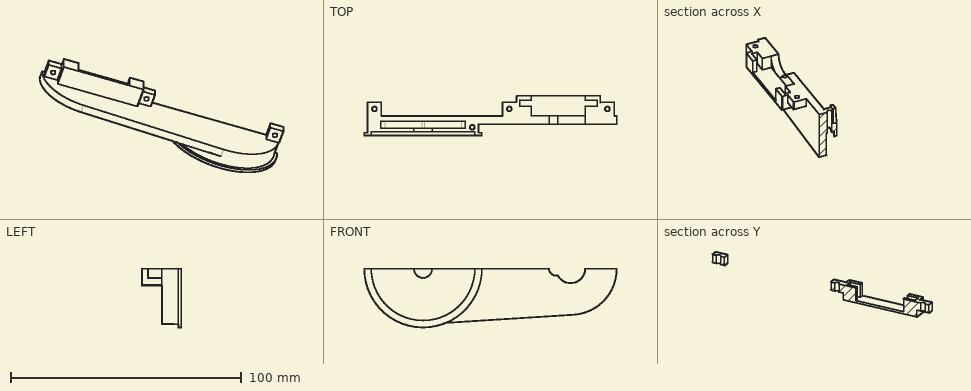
import cadquery as cq
import math


total_length = 109.5
flange_radius = 25.5
hub_radius = 24.1
end_radius = 20.0
end_x = total_length - flange_radius - end_radius

flange_back_y = 1.3
recess_depth = 1.6
plate_front_y = 4.9
plate_back_y = 8.5
bracket_back_y = 17.3

recess_radius = 22.5
horn_front_y = 3.3
horn_back_y = 6.2
horn_hub_radius = 4.3
horn_tip_radius = 2.1
horn_half_length = 18.3
clearance_radius = 3.9

lug_size = 6.0
lug_height = 4.0
lug_chamfer = 0.2
hole_radius = 1.0
lug_back_y = plate_back_y + lug_size
lug_hole_y = plate_back_y + lug_size / 2
hub_hole_x = 21.4
hub_hole_y = 3.6

bracket_left_x = 40.4
bracket_right_x = 76.9
bracket_height = 7.3
bracket_chamfer = 0.3
pocket_left_x = 46.9
pocket_right_x = 70.2
pocket_depth = 6.0
ear_left_x = 41.9
ear_right_x = 75.5
ear_front_y = 12.7
ear_back_y = 15.3
shaft_opening_radius = pocket_right_x - end_x
gear_opening_radius = 3.0
gear_opening_x = 57.6

lug_left_edges = [
    -hub_radius,
    bracket_left_x - lug_size,
    bracket_right_x,
]


def box(x0, x1, y0, y1, height):
    """Box hanging down from the split plane."""
    return cq.Workplane("XY").box(x1 - x0, y1 - y0, height, centered=False).translate((x0, y0, -height))


def cylinder(x, radius, y0, y1):
    """Cylinder along Y centred on the split plane."""
    return cq.Workplane("XZ", origin=(x, y0, 0)).circle(radius).extrude(y0 - y1)


def half_link(x0, radius0, x1, radius1, y0, y1):
    """Lower half of two circles joined by their common tangent."""
    tilt = math.asin((radius0 - radius1) / (x1 - x0))

    def on_circle(x, radius, angle):
        return x + radius * math.cos(angle), radius * math.sin(angle)

    tangent = tilt - math.pi / 2
    return (
        cq.Workplane("XZ", origin=(0, y0, 0))
        .moveTo(x0 - radius0, 0)
        .threePointArc(on_circle(x0, radius0, (tangent - math.pi) / 2), on_circle(x0, radius0, tangent))
        .lineTo(*on_circle(x1, radius1, tangent))
        .threePointArc(on_circle(x1, radius1, tangent / 2), (x1 + radius1, 0))
        .close()
        .extrude(y0 - y1)
    )


def half_disc(radius, y0, y1):
    """Half disc on the hub axis, below the split plane."""
    return (
        cq.Workplane("XZ", origin=(0, y0, 0))
        .moveTo(-radius, 0)
        .threePointArc((0, -radius), (radius, 0))
        .close()
        .extrude(y0 - y1)
    )


def make_arm():
    flange = half_disc(flange_radius, 0, flange_back_y)
    hub = half_disc(hub_radius, 0, plate_back_y)
    plate = half_link(0, hub_radius, end_x, end_radius, plate_front_y, plate_back_y)
    return flange.union(hub).union(plate)


def rear_block(left_x, right_x, back_y, height, chamfer):
    """Block behind the plate, with the rear and lower edges of its -X face broken."""
    block = box(left_x, right_x, plate_back_y, back_y, height)
    return block.faces("<X").edges(">Y or <Z").chamfer(chamfer)


def cut_servo_space(body):
    pocket = box(pocket_left_x, pocket_right_x, plate_back_y, bracket_back_y, pocket_depth)
    ears = box(ear_left_x, ear_right_x, ear_front_y, ear_back_y, pocket_depth)
    shaft_opening = cylinder(end_x, shaft_opening_radius, plate_front_y, plate_back_y)
    gear_opening = cylinder(gear_opening_x, gear_opening_radius, plate_front_y, plate_back_y)
    return body.cut(pocket).cut(ears).cut(shaft_opening).cut(gear_opening)


def cut_hub_details(body):
    recess = cylinder(0, recess_radius, 0, recess_depth)
    clearance = cylinder(0, clearance_radius, 0, horn_front_y)
    tip_x = horn_half_length - horn_tip_radius
    horn_arm = half_link(0, horn_hub_radius, tip_x, horn_tip_radius, horn_front_y, horn_back_y)
    return body.cut(recess).cut(clearance).cut(horn_arm).cut(horn_arm.mirror("YZ"))


def cut_screw_holes(body):
    centres = [(left_x + lug_size / 2, lug_hole_y) for left_x in lug_left_edges]
    centres.append((hub_hole_x, hub_hole_y))
    return body.cut(cq.Workplane("XY").pushPoints(centres).circle(hole_radius).extrude(-flange_radius))


body = make_arm()
body = body.union(rear_block(bracket_left_x, bracket_right_x, bracket_back_y, bracket_height, bracket_chamfer))
for left_edge in lug_left_edges:
    right_edge = left_edge + lug_size
    body = body.union(rear_block(left_edge, right_edge, lug_back_y, lug_height, lug_chamfer))
result = cut_screw_holes(cut_hub_details(cut_servo_space(body)))